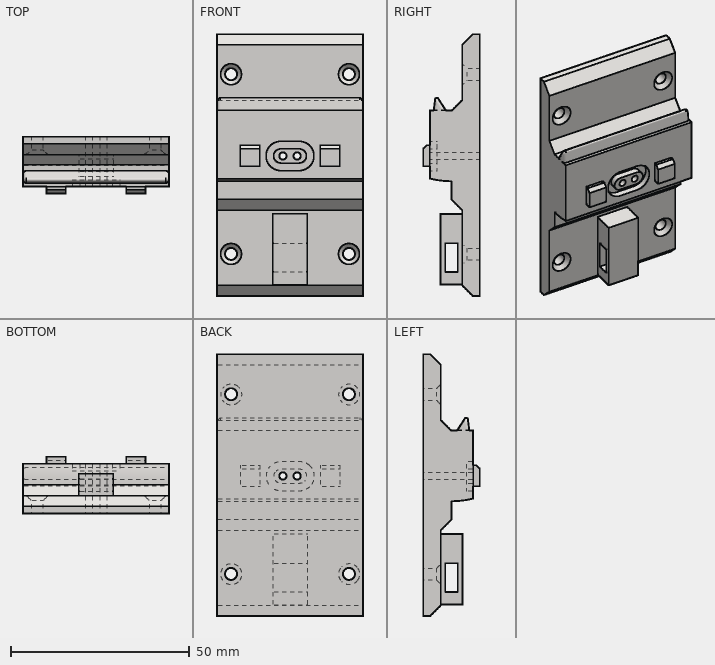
import cadquery as cq
import math

width = 41.0
height = 73.4
plate_depth = 5.0
bevel = 3.0

block_depth = 14.0
block_top = 52.05
block_slope = 2.9
block_front_bottom = 32.9
block_bottom = 32.15
step_depth = plate_depth + bevel
step_bottom = 27.1

lip_back = 9.55
lip_front = 13.0
lip_peak_depth = 12.4
lip_peak_height = 4.5
lip_tip_radius = 0.5
lip_end_radius = 0.95

peg_width = 5.4
peg_offset = 11.15
peg_bottom = 36.35
peg_height = 5.95
peg_projection = 1.9
peg_chamfer = 1.0

contact_z = 39.3
recess_width = 13.4
recess_height = 8.2
recess_depth = 2.0
island_width = 9.2
island_height = 4.0
contact_hole_diameter = 2.0
contact_hole_offset = 2.0

box_width = 9.6
box_depth = 11.1
box_bottom = 3.2
box_height = 19.8
window_back = 6.25
window_front = 9.7
window_bottom = 6.75
window_height = 8.0

screw_diameter = 3.3
countersink_diameter = 5.9
countersink_angle = 90
screw_offset = 16.5
screw_heights = (11.8, 62.2)


def extrude_across(points, length=width):
    """Extrude a (depth, height) outline along X, centred on X = 0."""
    outline = [(-depth, z) for depth, z in points]
    return cq.Workplane("YZ").polyline(outline).close().extrude(length / 2, both=True)


def front_plane(depth):
    """Plane facing forward at the given depth; its local axes are X and Z."""
    return cq.Workplane("XZ", origin=(0, -depth, 0))


def make_body():
    """Plate, step and block, with a hollow arc under the block."""
    points = [
        (block_depth, block_front_bottom),
        (block_depth, block_top),
        (plate_depth + block_slope, block_top),
        (plate_depth, block_top + block_slope),
        (plate_depth, height - bevel),
        (plate_depth - bevel, height),
        (0, height),
        (0, 0),
        (plate_depth - bevel, 0),
        (plate_depth, bevel),
        (plate_depth, step_bottom - bevel),
        (step_depth, step_bottom),
        (step_depth, block_bottom),
    ]
    outline = cq.Workplane("YZ").polyline([(-depth, z) for depth, z in points])
    arc_run = block_depth - step_depth
    arc_rise = block_front_bottom - block_bottom
    arc_radius = (arc_run**2 + arc_rise**2) / (2 * arc_rise)
    half_angle = math.asin(arc_run / arc_radius) / 2
    arc_middle = (
        -step_depth - arc_radius * math.sin(half_angle),
        block_bottom + arc_radius * (1 - math.cos(half_angle)),
    )
    outline = outline.threePointArc(arc_middle, (-block_depth, block_front_bottom))
    return outline.close().extrude(width / 2, both=True)


def make_lip():
    """Narrow wedge with a rounded tip and rounded ends."""
    lip = extrude_across([
        (lip_back, block_top),
        (lip_front, block_top),
        (lip_peak_depth, block_top + lip_peak_height),
    ])
    lip = lip.edges("|X and >Z").fillet(lip_tip_radius)
    return lip.faces("<X or >X").edges("not |Y").fillet(lip_end_radius)


def make_pegs():
    pegs = extrude_across([
        (block_depth, peg_bottom),
        (block_depth + peg_projection, peg_bottom),
        (block_depth + peg_projection, peg_bottom + peg_height - peg_chamfer),
        (block_depth + peg_projection - peg_chamfer, peg_bottom + peg_height),
        (block_depth, peg_bottom + peg_height),
    ], peg_width)
    return pegs.translate((-peg_offset, 0, 0)).union(pegs.translate((peg_offset, 0, 0)))


def make_box():
    box = extrude_across([
        (0, bevel),
        (plate_depth, box_bottom),
        (box_depth, box_bottom),
        (box_depth, box_bottom + box_height),
        (0, box_bottom + box_height),
    ], box_width)
    window = extrude_across([
        (window_back, window_bottom),
        (window_front, window_bottom),
        (window_front, window_bottom + window_height),
        (window_back, window_bottom + window_height),
    ])
    return box.cut(window)


def make_contact_recess():
    floor = front_plane(block_depth - recess_depth).center(0, contact_z)
    island = floor.slot2D(island_width, island_height).extrude(recess_depth)
    return floor.slot2D(recess_width, recess_height).extrude(recess_depth).cut(island)


def make_contact_holes():
    centers = [(-contact_hole_offset, contact_z), (contact_hole_offset, contact_z)]
    return front_plane(0).pushPoints(centers).circle(contact_hole_diameter / 2).extrude(block_depth)


def drill_screw_holes(part):
    centers = [(side * screw_offset, z) for side in (-1, 1) for z in screw_heights]
    face = part.copyWorkplane(front_plane(plate_depth)).pushPoints(centers)
    return face.cskHole(screw_diameter, countersink_diameter, countersink_angle)


result = make_body().union(make_lip()).union(make_pegs()).union(make_box())
result = result.cut(make_contact_recess()).cut(make_contact_holes())
result = drill_screw_holes(result)